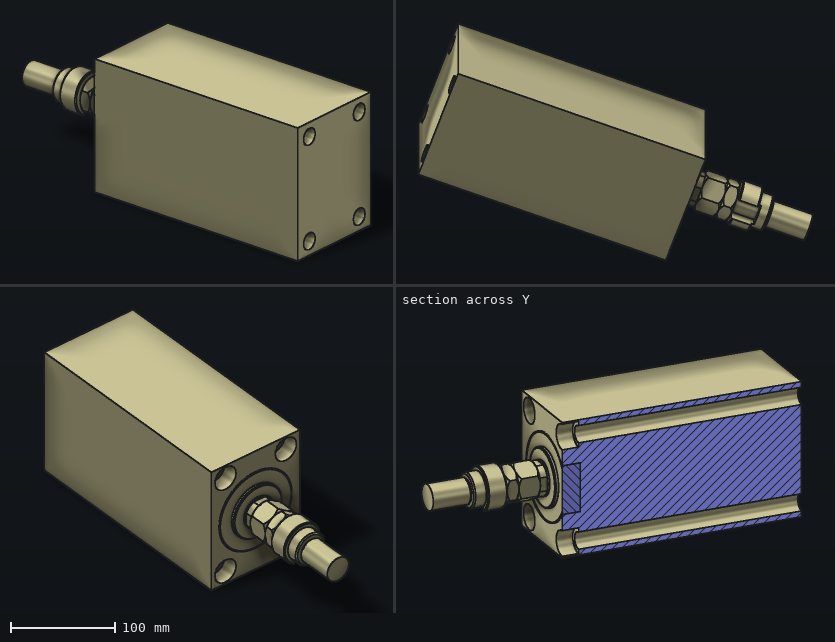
import cadquery as cq
import math


block_length = 253.0
block_width = 110.0
block_height = 140.0
bolt_spacing_y = 74.7
bolt_spacing_z = 110.0
bolt_hole_diameter = 17.5
counterbore_diameter = 26.0
counterbore_depth = 17.5

gland_diameter = 90.0
gland_depth = 19.0
gland_chamfer = 1.0
lip_diameter = 60.0
lip_height = 3.8
lip_chamfer = 1.0

rod_diameter = 36.0
rod_front_x = -13.5
wrench_neck_diameter = 35.5
wrench_neck_length = 8.0
wrench_flats_width = 32.5

hex_across_flats = 36.0
long_hex_length = 22.5
short_hex_length = 12.5
shank_diameter = 20.0

total_length = 377.5
collar_diameter = 45.0
collar_chamfer = 1.0
collar_length = 20.5
collar_gap = 1.5
shoulder_diameter = 36.0
shoulder_chamfer = 1.5
shoulder_length = 13.0
undercut_diameter = 24.0
undercut_length = 1.5
stud_diameter = 26.8
slot_overrun = 2.5

hex_joint_x = rod_front_x - long_hex_length
hex_front_x = hex_joint_x - short_hex_length
collar_back_x = hex_front_x - collar_gap
collar_front_x = collar_back_x - collar_length
shoulder_front_x = collar_front_x - shoulder_length
stud_back_x = shoulder_front_x - undercut_length
stud_tip_x = block_length - total_length
slot_front_x = collar_front_x - slot_overrun


def cylinder(diameter, start_x, end_x):
    """Cylinder on the main axis between two stations."""
    plane = cq.Workplane("YZ", origin=(start_x, 0, 0))
    return plane.circle(diameter / 2).extrude(end_x - start_x)


def make_block():
    """Rectangular block with four counterbored bolt holes and a recess for the gland."""
    block = cq.Workplane("XY").box(block_length, block_width, block_height, centered=(False, True, True))
    bolt_places = cq.Workplane("YZ").rect(bolt_spacing_y, bolt_spacing_z, forConstruction=True).vertices()
    bolt_holes = bolt_places.circle(bolt_hole_diameter / 2).extrude(block_length)
    counterbores = bolt_places.circle(counterbore_diameter / 2).extrude(counterbore_depth)
    gland_recess = cylinder(gland_diameter, 0, gland_depth)
    return block.cut(bolt_holes).cut(counterbores).cut(gland_recess)


def make_gland():
    """Disc flush with the block face, with a chamfered lip and a bore for the rod."""
    disc = cylinder(gland_diameter, 0, gland_depth).faces("<X").chamfer(gland_chamfer)
    lip = cylinder(lip_diameter, -lip_height, 0).faces("<X").chamfer(lip_chamfer)
    bore = cylinder(rod_diameter, -lip_height, gland_depth)
    return disc.union(lip).cut(bore)


def make_rod():
    """Round rod reaching to the back of the gland, with four wrench flats on its front neck."""
    neck_back_x = rod_front_x + wrench_neck_length
    shaft = cylinder(rod_diameter, neck_back_x, gland_depth)
    round_neck = cylinder(wrench_neck_diameter, rod_front_x, neck_back_x)
    square = (
        cq.Workplane("YZ", origin=(rod_front_x, 0, 0))
        .rect(wrench_flats_width, wrench_flats_width)
        .extrude(wrench_neck_length)
    )
    return shaft.union(round_neck.intersect(square))


def make_hexagon(start_x, length):
    """Hexagon with points up and down, turned conical at both ends."""
    hexagon = (
        cq.Workplane("YZ", origin=(start_x, 0, 0))
        .polygon(6, hex_across_flats, circumscribed=True)
        .extrude(length)
    )
    corner_diameter = hex_across_flats / math.cos(math.pi / 6)
    corner_chamfer = (corner_diameter - hex_across_flats) / 2
    round_blank = cylinder(corner_diameter, start_x, start_x + length)
    turned_blank = round_blank.edges("%CIRCLE").chamfer(corner_chamfer)
    return hexagon.intersect(turned_blank)


def make_pin():
    """Coupling pin: long and short hexagons with a shank that sits in the socket slot."""
    long_hex = make_hexagon(hex_joint_x, long_hex_length)
    short_hex = make_hexagon(hex_front_x, short_hex_length)
    shank = cylinder(shank_diameter, slot_front_x, hex_front_x)
    return long_hex.union(short_hex).union(shank)


def make_socket():
    """Coupling socket: stud, shoulder and collar, with a round-ended slot open downwards."""
    collar = cylinder(collar_diameter, collar_front_x, collar_back_x)
    collar = collar.edges("%CIRCLE").chamfer(collar_chamfer)
    shoulder = cylinder(shoulder_diameter, shoulder_front_x, collar_front_x)
    shoulder = shoulder.faces("<X").chamfer(shoulder_chamfer)
    undercut = cylinder(undercut_diameter, stud_back_x, shoulder_front_x)
    stud = cylinder(stud_diameter, stud_tip_x, stud_back_x)
    slot_length = collar_back_x - slot_front_x
    slot_end = cylinder(shank_diameter, slot_front_x, collar_back_x)
    slot_mouth = (
        cq.Workplane("XY", origin=(slot_front_x, 0, 0))
        .rect(slot_length, shank_diameter)
        .extrude(-collar_diameter / 2)
        .translate((slot_length / 2, 0, 0))
    )
    return collar.union(shoulder).union(undercut).union(stud).cut(slot_end).cut(slot_mouth)


block = make_block()
gland = make_gland()
rod = make_rod()
pin = make_pin()
socket = make_socket()

result = cq.Compound.makeCompound([block.val(), gland.val(), rod.val(), pin.val(), socket.val()])